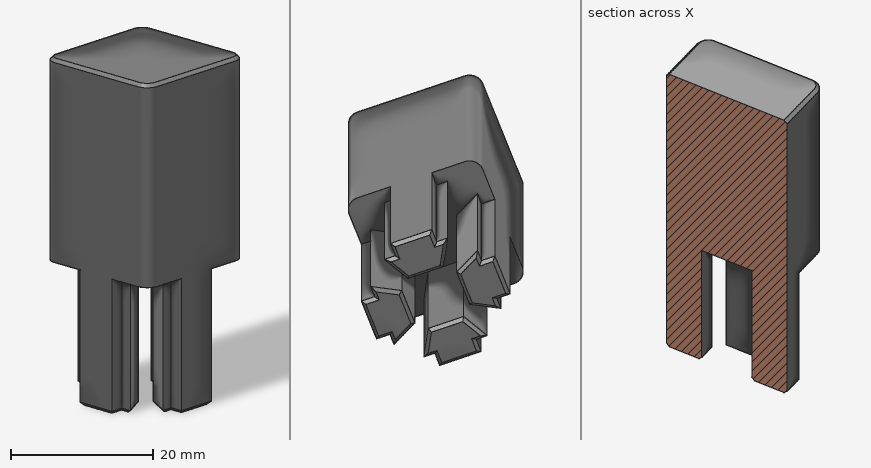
import cadquery as cq

body_width = 20
total_height = 50
key_length = 20
corner_radius = 2
edge_chamfer = 0.5

key_outer = body_width / 2
shoulder = 8
key_inner = 4.1
neck_half_width = 3.1
shoulder_half_width = 4.75
inner_half_width = 2.65


def cap_body():
    """Square block with rounded vertical corners and a chamfered top."""
    return (
        cq.Workplane("XY")
        .workplane(offset=key_length)
        .rect(body_width, body_width)
        .extrude(total_height - key_length)
        .edges("|Z")
        .fillet(corner_radius)
        .faces(">Z")
        .chamfer(edge_chamfer)
    )


def slot_key():
    """Key on the +X side: a straight neck outside a head that tapers inward."""
    half_profile = [
        (key_outer, neck_half_width),
        (shoulder, neck_half_width),
        (shoulder, shoulder_half_width),
        (key_inner, inner_half_width),
    ]
    mirrored_half = [(x, -y) for x, y in reversed(half_profile)]
    return (
        cq.Workplane("XY")
        .polyline(half_profile + mirrored_half)
        .close()
        .extrude(key_length)
        .faces("<Z")
        .chamfer(edge_chamfer)
    )


result = cap_body()
for angle in (0, 90, 180, 270):
    result = result.union(slot_key().rotate((0, 0, 0), (0, 0, 1), angle))